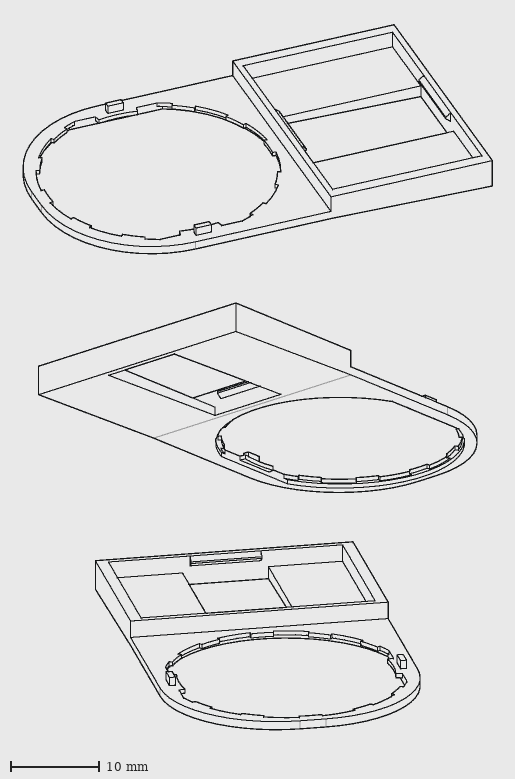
import cadquery as cq
import math

WIDTH = 29.8
LENGTH = 49.65
CORNER_RADIUS = 13.4
PLATE_BOTTOM = 0.5
PLATE_TOP = 1.5

FRAME_LENGTH = 19.7
FRAME_TOP = 3.5
FRAME_FRONT = LENGTH - FRAME_LENGTH
POCKET_WIDTH = 27.05
END_WALL = 0.75
POCKET_LENGTH = FRAME_LENGTH - 2 * END_WALL
POCKET_CENTER_Y = LENGTH - FRAME_LENGTH / 2
WINDOW_WIDTH = 9.95

RIDGE_WIDTH = 8.2
RIDGE_REACH = 0.6
RIDGE_TOP = FRAME_TOP
RIDGE_SLOPE_DROP = 0.5
RIDGE_NOSE = 0.2
RIDGE_HEIGHT = 2 * RIDGE_SLOPE_DROP + RIDGE_NOSE

HOLE_CENTER_Y = 14.9
HOLE_RADIUS = 13.85
FLAT_DISTANCE = 12.9
RELIEF_RADIUS = 14.1
TOOTH_BOTTOM = 1.0
TOOTH_RADIUS = 13.45
TOOTH_HALF_ANGLE = 5.6
TOOTH_PITCH = 28.0
SIDE_TOOTH_RADIUS = 12.4
SIDE_TOOTH_HALF_ANGLE = 11.0

PEG_WIDTH = 0.7
PEG_LENGTH = 1.9
PEG_TOP = 2.5
PEG_OFFSET = 13.35


def box(width, length, bottom, top, x, y):
    """Box centred on (x, y), spanning bottom to top in z."""
    return (
        cq.Workplane("XY", origin=(x, y, bottom))
        .rect(width, length)
        .extrude(top - bottom)
    )


def make_plate():
    blank = box(WIDTH, LENGTH, PLATE_BOTTOM, PLATE_TOP, 0, LENGTH / 2)
    return blank.edges("|Z and <Y").fillet(CORNER_RADIUS)


def make_frame():
    profile = [
        (FRAME_FRONT, PLATE_BOTTOM),
        (LENGTH, 0),
        (LENGTH, FRAME_TOP),
        (FRAME_FRONT, FRAME_TOP),
    ]
    frame = cq.Workplane("YZ").polyline(profile).close().extrude(WIDTH / 2, both=True)
    pocket = box(POCKET_WIDTH, POCKET_LENGTH, PLATE_TOP, FRAME_TOP, 0, POCKET_CENTER_Y)
    window = box(WINDOW_WIDTH, POCKET_LENGTH, 0, FRAME_TOP, 0, POCKET_CENTER_Y)
    return frame.cut(pocket).cut(window)


def make_ridge(side):
    """Ridge on the back (side = 1) or front (side = -1) pocket wall."""
    wall_y = POCKET_CENTER_Y + side * POCKET_LENGTH / 2
    profile = [
        (wall_y, RIDGE_TOP),
        (wall_y - side * RIDGE_REACH, RIDGE_TOP - RIDGE_SLOPE_DROP),
        (wall_y - side * RIDGE_REACH, RIDGE_TOP - RIDGE_SLOPE_DROP - RIDGE_NOSE),
        (wall_y, RIDGE_TOP - RIDGE_HEIGHT),
    ]
    return cq.Workplane("YZ").polyline(profile).close().extrude(RIDGE_WIDTH / 2, both=True)


def polar(radius, angle):
    """Point around the opening centre, with the angle in degrees from +X."""
    turn = math.radians(angle)
    return (radius * math.cos(turn), radius * math.sin(turn))


def make_tooth(angle, half_angle, tip_radius):
    """Ring sector from the tooth tip to the outer radius of the opening."""
    first = angle - half_angle
    last = angle + half_angle
    return (
        cq.Workplane("XY", origin=(0, HOLE_CENTER_Y, TOOTH_BOTTOM))
        .moveTo(*polar(tip_radius, first))
        .threePointArc(polar(tip_radius, angle), polar(tip_radius, last))
        .lineTo(*polar(HOLE_RADIUS, last))
        .threePointArc(polar(HOLE_RADIUS, angle), polar(HOLE_RADIUS, first))
        .close()
        .extrude(PLATE_TOP - TOOTH_BOTTOM)
    )


def make_flat_sided_disc(radius, bottom, top):
    disc = (
        cq.Workplane("XY", origin=(0, HOLE_CENTER_Y, bottom))
        .circle(radius)
        .extrude(top - bottom)
    )
    return disc.intersect(box(2 * FLAT_DISTANCE, 2 * radius, bottom, top, 0, HOLE_CENTER_Y))


def make_opening():
    opening = make_flat_sided_disc(HOLE_RADIUS, TOOTH_BOTTOM, PLATE_TOP)
    for middle in (90, 270):
        for step in (-2, -1, 0, 1, 2):
            angle = middle + step * TOOTH_PITCH
            opening = opening.cut(make_tooth(angle, TOOTH_HALF_ANGLE, TOOTH_RADIUS))
    for angle in (0, 180):
        opening = opening.cut(make_tooth(angle, SIDE_TOOTH_HALF_ANGLE, SIDE_TOOTH_RADIUS))
    return opening.union(make_flat_sided_disc(RELIEF_RADIUS, PLATE_BOTTOM, TOOTH_BOTTOM))


plate = make_plate().cut(make_opening())

plate = plate.cut(box(WIDTH, FRAME_LENGTH, PLATE_BOTTOM, PLATE_TOP, 0, POCKET_CENTER_Y))
result = plate.union(make_frame())

for side in (-1, 1):
    result = result.union(make_ridge(side))
    peg = box(PEG_WIDTH, PEG_LENGTH, PLATE_TOP, PEG_TOP, side * PEG_OFFSET, HOLE_CENTER_Y)
    result = result.union(peg)